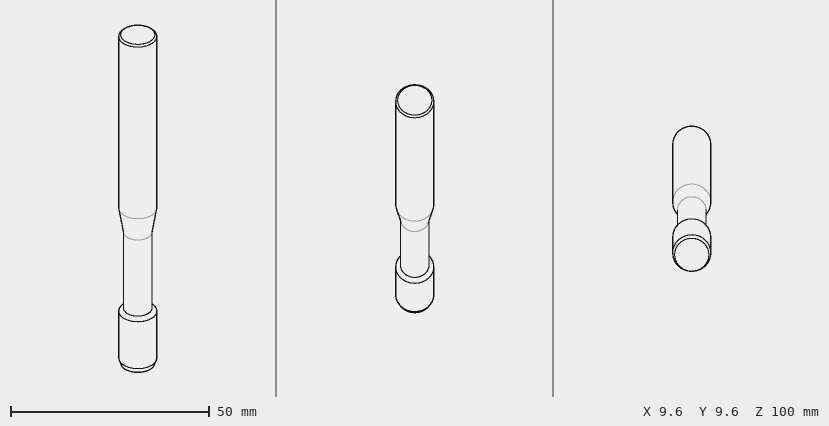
import cadquery as cq

total_length = 100.0
shank_radius = 4.8
neck_radius = 3.6
shank_chamfer = 0.5
taper_top = 47.2
taper_bottom = 39.9
head_length = 16.7
head_shoulder_height = 0.9
head_chamfer_radial = 0.5
head_chamfer_height = 1.5


def revolve_profile(points):
    """Revolve a closed (radius, height) outline around the Z axis."""
    return cq.Workplane("XZ").polyline(points).close().revolve(360, (0, 0, 0), (0, 1, 0))


def make_head():
    """Cylindrical head with a chamfered end and a conical shoulder."""
    return revolve_profile([
        (0, 0),
        (shank_radius - head_chamfer_radial, 0),
        (shank_radius, head_chamfer_height),
        (shank_radius, head_length - head_shoulder_height),
        (neck_radius, head_length),
        (0, head_length),
    ])


def make_shank():
    """Neck, taper and shank in one piece, standing on the head."""
    return revolve_profile([
        (0, head_length),
        (neck_radius, head_length),
        (neck_radius, taper_bottom),
        (shank_radius, taper_top),
        (shank_radius, total_length - shank_chamfer),
        (shank_radius - shank_chamfer, total_length),
        (0, total_length),
    ])


head = make_head()
shank = make_shank()

result = cq.Compound.makeCompound([head.val(), shank.val()])